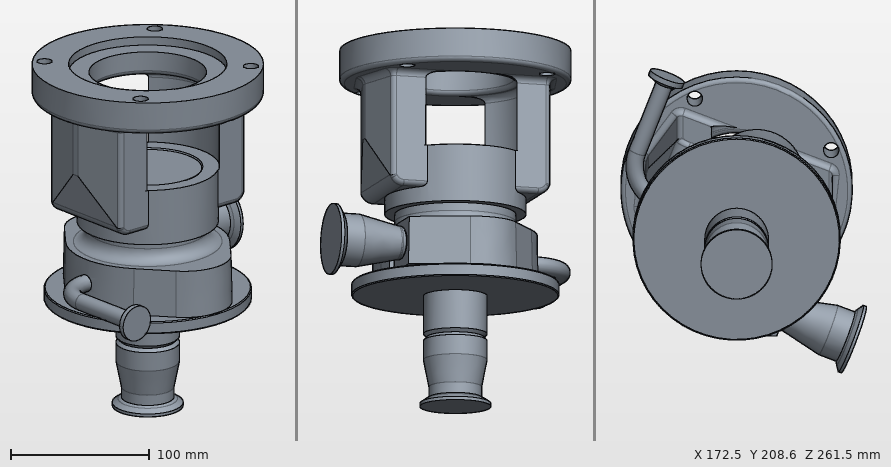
import cadquery as cq
import math

TOTAL_HEIGHT = 261.5

FLANGE_RADIUS = 83.5
FLANGE_THICKNESS = 24.0
FLANGE_EDGE_FILLET = 3.5
RECESS_RADIUS = 57.0
RECESS_DEPTH = 6.3
BORE_RADIUS = 42.4
BOLT_HOLE_RADIUS = 5.5
BOLT_CIRCLE_RADIUS = 74.5
BOLT_COUNT = 4
BOLT_START_ANGLE = 45

LEG_HALF_WIDTH = 38.7
LEG_RIDGE_Y = 69.0
LEG_RIDGE_WIDTH = 5.0
LEG_SLOPE = math.radians(15)
LEG_SLOPE_TOP_Z = 192.5
LEG_BOTTOM_Z = 152.7
LEG_INNER_RADIUS = 51.8
LEG_SIDE_FILLET = 3.7
LEG_BOTTOM_FILLET = 10.0
LEG_TOP_FILLET = 5.0

DRUM_RADIUS = 51.0
DRUM_TOP_Z = 182.8
DRUM_BOTTOM_Z = 141.2
DRUM_RECESS_RADIUS = 39.7
DRUM_RECESS_FLOOR_RADIUS = 39.0
DRUM_RECESS_DEPTH = 1.0
NECK_RADIUS = 43.7
NECK_FLARE = 10.0

VOLUTE_TOP_Z = 125.5
VOLUTE_BOTTOM_Z = 90.5
VOLUTE_DRAFT = 1.3
VOLUTE_RADIUS = 60.0
LOBE_OFFSET = 39.7
LOBE_RADIUS = 34.8
OUTLET_FACE_Y = 53.5
OUTLET_STEP_X = -23.5
OUTLET_STEP_Y = 57.0
OUTLET_CORNER_X = -58.3

PLATE_RADIUS = 74.8
PLATE_BOTTOM_Z = 81.3
PLATE_EDGE_CHAMFER = 0.8

FERRULE_RADIUS = 25.5
FERRULE_RIM = 2.4
FERRULE_CONE_END = 5.2
FERRULE_CONE_RADIUS = 21.5
FERRULE_LENGTH = 6.5
TUBE_RADIUS = 19.0

INLET_TUBE_TOP_Z = 14.5
INLET_CONE_TOP_Z = 34.3
INLET_RADIUS = 23.0
GROOVE_BOTTOM_Z = 48.5
GROOVE_TOP_Z = 53.3
GROOVE_DEPTH = 2.4

OUTLET_X = -44.5
OUTLET_Z = 108.3
OUTLET_END_Y = 107.7
OUTLET_CONE_START_Y = 87.9
OUTLET_CONE_END_Y = 57.8
OUTLET_NECK_RADIUS = 12.3
OUTLET_NECK_FILLET = 3.1
OUTLET_EMBED = 5.2

FLUSH_RADIUS = 6.3
FLUSH_Y = -87.9
FLUSH_Z = 107.5
FLUSH_BEND_RADIUS = 28.8
FLUSH_EMBED = 10.5
FLUSH_END_X = 89.0
FLUSH_FERRULE_RADIUS = 13.0
FLUSH_FERRULE_RIM = 4.0
FLUSH_FERRULE_LENGTH = 6.8

FLANGE_BOTTOM_Z = TOTAL_HEIGHT - FLANGE_THICKNESS


def cylinder(radius, bottom_z, top_z):
    return cq.Workplane("XY").workplane(offset=bottom_z).circle(radius).extrude(top_z - bottom_z)


def turned(stations):
    """Solid of revolution about Z through (radius, height) stations."""
    outline = [(0, stations[0][1])] + stations + [(0, stations[-1][1])]
    return cq.Workplane("XZ").polyline(outline).close().revolve(360, (0, 0, 0), (0, 1, 0))


def make_flange():
    """Recessed ring, rounded along both edges of its underside, with four bolt holes."""
    flange = cylinder(FLANGE_RADIUS, FLANGE_BOTTOM_Z, TOTAL_HEIGHT)
    flange = flange.cut(cylinder(BORE_RADIUS, FLANGE_BOTTOM_Z, TOTAL_HEIGHT))
    flange = flange.cut(cylinder(RECESS_RADIUS, TOTAL_HEIGHT - RECESS_DEPTH, TOTAL_HEIGHT))
    flange = flange.faces("<Z").edges().fillet(FLANGE_EDGE_FILLET)
    bolt_holes = (
        cq.Workplane("XY")
        .workplane(offset=FLANGE_BOTTOM_Z)
        .polarArray(BOLT_CIRCLE_RADIUS, BOLT_START_ANGLE, 360, BOLT_COUNT)
        .circle(BOLT_HOLE_RADIUS)
        .extrude(FLANGE_THICKNESS)
    )
    return flange.cut(bolt_holes)


def make_leg():
    """Front leg: ridged outer face, sloping in towards a rounded foot."""
    half_ridge = LEG_RIDGE_WIDTH / 2
    side_y = LEG_RIDGE_Y - (LEG_HALF_WIDTH - half_ridge) * math.tan(LEG_SLOPE)
    leg = (
        cq.Workplane("XY")
        .workplane(offset=LEG_BOTTOM_Z)
        .moveTo(-LEG_HALF_WIDTH, 0)
        .lineTo(-LEG_HALF_WIDTH, -side_y)
        .lineTo(-half_ridge, -LEG_RIDGE_Y)
        .lineTo(half_ridge, -LEG_RIDGE_Y)
        .lineTo(LEG_HALF_WIDTH, -side_y)
        .lineTo(LEG_HALF_WIDTH, 0)
        .close()
        .extrude(FLANGE_BOTTOM_Z - LEG_BOTTOM_Z)
    )
    foot_y = LEG_RIDGE_Y - (LEG_SLOPE_TOP_Z - LEG_BOTTOM_Z) * math.tan(LEG_SLOPE)
    foot_cut = (
        cq.Workplane("YZ")
        .moveTo(-LEG_RIDGE_Y, LEG_SLOPE_TOP_Z)
        .lineTo(-foot_y, LEG_BOTTOM_Z)
        .lineTo(-LEG_RIDGE_Y, LEG_BOTTOM_Z)
        .close()
        .extrude(LEG_HALF_WIDTH, both=True)
    )
    leg = leg.cut(foot_cut)
    leg = leg.faces("<Z").edges("<Y").fillet(LEG_BOTTOM_FILLET)
    side_edges = leg.faces("<X or >X").edges("not(>Y or >Z)")
    leg = leg.newObject(side_edges.vals()).fillet(LEG_SIDE_FILLET)
    leg = leg.cut(cylinder(DRUM_RADIUS, LEG_BOTTOM_Z, DRUM_TOP_Z))
    return leg.cut(cylinder(LEG_INNER_RADIUS, DRUM_TOP_Z, FLANGE_BOTTOM_Z))


def make_bracket():
    """Flange and both legs, blended together under the flange."""
    leg = make_leg()
    bracket = make_flange().union(leg).union(leg.mirror("XZ"))
    margin = 0.3
    joint_half_width = LEG_HALF_WIDTH + margin
    joint_zone = cq.selectors.BoxSelector(
        (-joint_half_width, -FLANGE_RADIUS, FLANGE_BOTTOM_Z - margin),
        (joint_half_width, FLANGE_RADIUS, FLANGE_BOTTOM_Z + margin),
    )
    return bracket.edges(joint_zone).fillet(LEG_TOP_FILLET)


def make_housing():
    """Drum and neck, flaring with a quarter arc onto the volute."""
    flare_top_z = VOLUTE_TOP_Z + NECK_FLARE
    flare_radius = NECK_RADIUS + NECK_FLARE
    arc_reach = NECK_FLARE * (1 - math.sqrt(0.5))
    housing = (
        cq.Workplane("XZ")
        .moveTo(0, VOLUTE_TOP_Z)
        .lineTo(flare_radius, VOLUTE_TOP_Z)
        .threePointArc((NECK_RADIUS + arc_reach, VOLUTE_TOP_Z + arc_reach), (NECK_RADIUS, flare_top_z))
        .lineTo(NECK_RADIUS, DRUM_BOTTOM_Z)
        .lineTo(DRUM_RADIUS, DRUM_BOTTOM_Z)
        .lineTo(DRUM_RADIUS, DRUM_TOP_Z)
        .lineTo(0, DRUM_TOP_Z)
        .close()
        .revolve(360, (0, 0, 0), (0, 1, 0))
    )
    drum_recess = turned(
        [
            (DRUM_RECESS_FLOOR_RADIUS, DRUM_TOP_Z - DRUM_RECESS_DEPTH),
            (DRUM_RECESS_RADIUS, DRUM_TOP_Z),
        ]
    )
    return housing.cut(drum_recess)


def tangent_angle(radius, dx, dy, turn):
    """Angle, about a circle's centre, where the tangent through the offset (dx, dy) touches it."""
    return math.atan2(dy, dx) + turn * math.acos(radius / math.hypot(dx, dy))


def make_volute():
    """Drafted round casing with a lobe on each side; the left lobe runs to the outlet corner."""
    base = cq.Workplane("XY").workplane(offset=VOLUTE_BOTTOM_Z)
    normal = math.acos((VOLUTE_RADIUS - LOBE_RADIUS) / LOBE_OFFSET)
    ux, uy = math.cos(normal), math.sin(normal)
    casing_x, casing_y = VOLUTE_RADIUS * ux, VOLUTE_RADIUS * uy
    lobe_x, lobe_y = LOBE_OFFSET + LOBE_RADIUS * ux, LOBE_RADIUS * uy
    lobe_tip = LOBE_OFFSET + LOBE_RADIUS

    corner_angle = tangent_angle(LOBE_RADIUS, OUTLET_CORNER_X + LOBE_OFFSET, OUTLET_FACE_Y, 1)
    corner_tangent_x = -LOBE_OFFSET + LOBE_RADIUS * math.cos(corner_angle)
    corner_tangent_y = LOBE_RADIUS * math.sin(corner_angle)
    step_angle = tangent_angle(VOLUTE_RADIUS, OUTLET_STEP_X, OUTLET_STEP_Y, -1)
    step_tangent = (VOLUTE_RADIUS * math.cos(step_angle), VOLUTE_RADIUS * math.sin(step_angle))

    outline = (
        base.moveTo(-casing_x, -casing_y)
        .threePointArc((0, -VOLUTE_RADIUS), (casing_x, -casing_y))
        .lineTo(lobe_x, -lobe_y)
        .threePointArc((lobe_tip, 0), (lobe_x, lobe_y))
        .lineTo(casing_x, casing_y)
        .threePointArc((0, VOLUTE_RADIUS), step_tangent)
        .lineTo(OUTLET_STEP_X, OUTLET_STEP_Y)
        .lineTo(OUTLET_STEP_X, OUTLET_FACE_Y)
        .lineTo(OUTLET_CORNER_X, OUTLET_FACE_Y)
        .lineTo(corner_tangent_x, corner_tangent_y)
        .threePointArc((-lobe_tip, 0), (-lobe_x, -lobe_y))
        .close()
    )
    return outline.extrude(VOLUTE_TOP_Z - VOLUTE_BOTTOM_Z, taper=VOLUTE_DRAFT)


def make_plate():
    """Round back plate with both rims lightly chamfered."""
    plate = cylinder(PLATE_RADIUS, PLATE_BOTTOM_Z, VOLUTE_BOTTOM_Z)
    return plate.edges().chamfer(PLATE_EDGE_CHAMFER)


def ferrule_stations():
    """Clamp ferrule outline, from its end face to the tube behind it."""
    return [
        (FERRULE_RADIUS, 0),
        (FERRULE_RADIUS, FERRULE_RIM),
        (FERRULE_CONE_RADIUS, FERRULE_CONE_END),
        (TUBE_RADIUS, FERRULE_LENGTH),
    ]


def make_inlet():
    """Axial inlet pipe: ferrule, widening cone and a V groove below the back plate."""
    groove_mid_z = (GROOVE_BOTTOM_Z + GROOVE_TOP_Z) / 2
    return turned(
        ferrule_stations()
        + [
            (TUBE_RADIUS, INLET_TUBE_TOP_Z),
            (INLET_RADIUS, INLET_CONE_TOP_Z),
            (INLET_RADIUS, GROOVE_BOTTOM_Z),
            (INLET_RADIUS - GROOVE_DEPTH, groove_mid_z),
            (INLET_RADIUS, GROOVE_TOP_Z),
            (INLET_RADIUS, PLATE_BOTTOM_Z),
        ]
    )


def make_outlet():
    """Reducer pipe built upright, then turned so that its ferrule faces +Y."""
    neck_end = OUTLET_END_Y - OUTLET_FACE_Y
    core_end = neck_end + OUTLET_EMBED
    core_radius = OUTLET_NECK_RADIUS - OUTLET_NECK_FILLET
    pipe = turned(
        ferrule_stations()
        + [
            (TUBE_RADIUS, OUTLET_END_Y - OUTLET_CONE_START_Y),
            (OUTLET_NECK_RADIUS, OUTLET_END_Y - OUTLET_CONE_END_Y),
            (OUTLET_NECK_RADIUS, neck_end),
        ]
    )
    pipe = pipe.faces(">Z").edges().fillet(OUTLET_NECK_FILLET)
    pipe = pipe.union(cylinder(core_radius, neck_end - OUTLET_EMBED, core_end))
    return pipe.rotate((0, 0, 0), (1, 0, 0), 90).translate((OUTLET_X, OUTLET_END_Y, OUTLET_Z))


def make_flush_pipe():
    """Thin pipe leaving the casing towards -Y, then bending to a small ferrule facing +X."""
    bend_start_y = FLUSH_Y + FLUSH_BEND_RADIUS
    bend_reach = FLUSH_BEND_RADIUS * (1 - math.sqrt(0.5))
    inner_end_y = bend_start_y + FLUSH_EMBED
    path = (
        cq.Workplane("XY")
        .workplane(offset=FLUSH_Z)
        .moveTo(0, inner_end_y)
        .lineTo(0, bend_start_y)
        .threePointArc((bend_reach, FLUSH_Y + bend_reach), (FLUSH_BEND_RADIUS, FLUSH_Y))
        .lineTo(FLUSH_END_X - FLUSH_FERRULE_RIM, FLUSH_Y)
    )
    pipe = (
        cq.Workplane("XZ", origin=(0, inner_end_y, FLUSH_Z))
        .circle(FLUSH_RADIUS)
        .sweep(path)
    )
    ferrule = turned(
        [
            (FLUSH_FERRULE_RADIUS, 0),
            (FLUSH_FERRULE_RADIUS, FLUSH_FERRULE_RIM),
            (FLUSH_RADIUS, FLUSH_FERRULE_LENGTH),
        ]
    )
    ferrule = ferrule.rotate((0, 0, 0), (0, 1, 0), -90).translate((FLUSH_END_X, FLUSH_Y, FLUSH_Z))
    return pipe.union(ferrule)


result = make_bracket()
for section in (
    make_housing(),
    make_volute(),
    make_plate(),
    make_inlet(),
    make_outlet(),
    make_flush_pipe(),
):
    result = result.union(section)